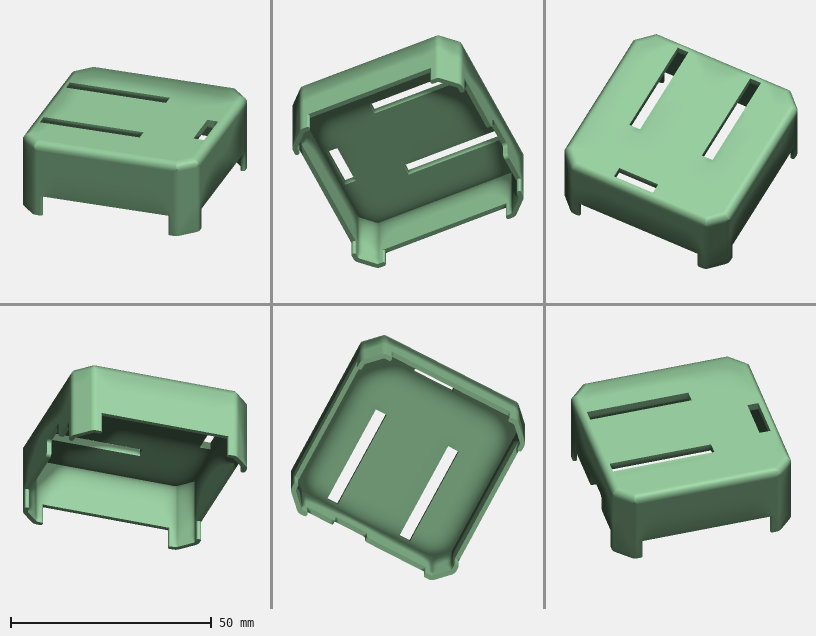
import cadquery as cq
import math

length_x = 46.49
width_y = 46.34
height = 20.0
corner_cut = 4.37
edge_radius = 2.0
wall = 1.2
top_thickness = 2.0

leg_height = 5.4
leg_reach = 6.7
leg_end_radius = 0.55

notch_width = 8.95
notch_center_y = -4.4
notch_top = 9.9
notch_radius = 1.0

long_slot_length = 26.35
long_slot_width = 3.0
long_slot_start_x = -21.1
long_slot_centers_y = (10.05, -10.3)
short_slot_length = 10.9
short_slot_width = 2.85
short_slot_center = (19.5, -2.55)


def octagon_prism(size_x, size_y, cut, prism_height):
    """Rectangular prism standing on z = 0 with its vertical corners cut at 45 degrees."""
    return (
        cq.Workplane("XY")
        .rect(size_x, size_y)
        .extrude(prism_height)
        .edges("|Z")
        .chamfer(cut)
    )


def make_shell():
    """Hollow octagonal cover; the rim roundings meet in mitres above the rounded vertical edges."""
    octagon = octagon_prism(length_x, width_y, corner_cut, height)
    rounded_rim = octagon.faces(">Z").edges().fillet(edge_radius)
    rounded_sides = octagon.edges("|Z").fillet(edge_radius)
    outer = rounded_rim.intersect(rounded_sides)

    inner_cut = corner_cut - wall * (2 - math.sqrt(2))
    cavity = octagon_prism(
        length_x - 2 * wall,
        width_y - 2 * wall,
        inner_cut,
        height - top_thickness,
    ).edges("|Z").fillet(edge_radius - wall)
    return outer.cut(cavity)


def cut_leg_openings(body):
    """Remove the lower part of every wall between the legs and round the leg ends."""
    opening_x = length_x - 2 * leg_reach
    opening_y = width_y - 2 * leg_reach
    across_x = cq.Workplane("XY").rect(length_x, opening_y).extrude(leg_height)
    across_y = cq.Workplane("XY").rect(opening_x, width_y).extrude(leg_height)
    body = body.cut(across_x).cut(across_y)

    half_x = length_x / 2
    half_y = width_y / 2
    margin = wall / 2
    for side in (-1, 1):
        for end in (-1, 1):
            leg_on_y_wall = (side * opening_x / 2, end * (half_y - margin))
            leg_on_x_wall = (end * (half_x - margin), side * opening_y / 2)
            for x, y in (leg_on_y_wall, leg_on_x_wall):
                near_end = cq.selectors.BoxSelector(
                    (x - wall, y - wall, 0),
                    (x + wall, y + wall, leg_height),
                )
                leg_edges = body.edges("|Z").edges(near_end)
                body = leg_edges.fillet(leg_end_radius)
    return body


def cut_cable_notch(body):
    """Open a notch with rounded corners upward from the lower edge of the -X wall."""
    half = notch_width / 2
    flare = half + notch_radius
    lower_arc_end = leg_height + notch_radius
    upper_arc_start = notch_top - notch_radius
    profile = (
        cq.Workplane("YZ", origin=(-length_x / 2, notch_center_y, 0))
        .moveTo(-flare, leg_height)
        .radiusArc((-half, lower_arc_end), -notch_radius)
        .lineTo(-half, upper_arc_start)
        .radiusArc((-half + notch_radius, notch_top), notch_radius)
        .lineTo(half - notch_radius, notch_top)
        .radiusArc((half, upper_arc_start), notch_radius)
        .lineTo(half, lower_arc_end)
        .radiusArc((flare, leg_height), -notch_radius)
        .close()
    )
    return body.cut(profile.extrude(wall))


def cut_top_slot(body, center, size_x, size_y):
    """Cut one rectangular slot through the top."""
    slot = (
        cq.Workplane("XY", origin=(0, 0, height - top_thickness))
        .center(*center)
        .rect(size_x, size_y)
        .extrude(top_thickness)
    )
    return body.cut(slot)


result = make_shell()
result = cut_leg_openings(result)
result = cut_cable_notch(result)
for slot_y in long_slot_centers_y:
    long_slot_center = (long_slot_start_x + long_slot_length / 2, slot_y)
    result = cut_top_slot(result, long_slot_center, long_slot_length, long_slot_width)
result = cut_top_slot(result, short_slot_center, short_slot_width, short_slot_length)